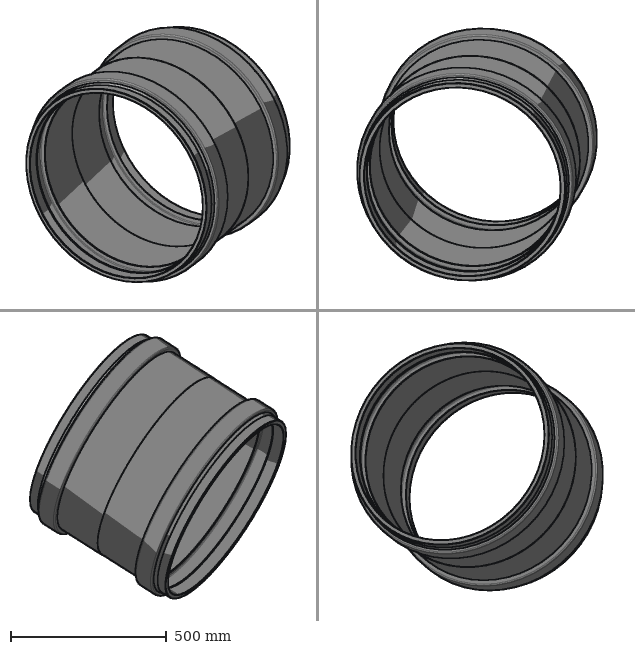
import cadquery as cq

LENGTH = 535.0
HALF = LENGTH / 2
BORE_R = 636.0 / 2
FRONT_R = 670.0 / 2
BACK_R = 672.5 / 2
EDGE_BREAK = 1.5

COLLAR_R = 705 / 2
COLLAR_START = 44.0
COLLAR_END = 109.0
COLLAR_ROUND = 5.0
CONE_START = 32.0
CONE_RISE = 4.0

MOUTH_R = BORE_R + 2.0
LIP_START = 41.0

WALL = FRONT_R - BORE_R
GROOVE_R = COLLAR_R - WALL
GROOVE_START = 43.0
GROOVE_END = 92.0
GROOVE_ROUND = 3.0


def ring(inner_r, outer_r, start, end):
    """Plain ring about the Y axis, lying between two distances from the mouth."""
    return (
        cq.Workplane("XZ", origin=(0, start - HALF, 0))
        .circle(outer_r)
        .circle(inner_r)
        .extrude(start - end)
    )


def turned(profile):
    """Solid of revolution about Y from (radius, distance from the mouth) points."""
    points = [(radius, distance - HALF) for radius, distance in profile]
    return cq.Workplane("XY").polyline(points).close().revolve(360, (0, 0, 0), (0, 1, 0))


def round_outer_edges(body, radius):
    """Round the edges of largest radius on a ring."""
    return body.edges(cq.selectors.RadiusNthSelector(-1)).fillet(radius)


def pipe(outer_r):
    """Solid pipe with a chamfered mouth and a conical flare leading up to the collar."""
    return turned([
        (0, 0),
        (outer_r - EDGE_BREAK, 0),
        (outer_r, EDGE_BREAK),
        (outer_r, CONE_START),
        (outer_r + CONE_RISE, COLLAR_START),
        (outer_r, COLLAR_START),
        (outer_r, HALF),
        (0, HALF),
    ])


def collar():
    """Raised ring with rounded outer edges."""
    return round_outer_edges(ring(BORE_R, COLLAR_R, COLLAR_START, COLLAR_END), COLLAR_ROUND)


def bore():
    """Space inside the socket: mouth, lip and bore, with the groove's inner edge chamfered."""
    return turned([
        (0, 0),
        (MOUTH_R + EDGE_BREAK, 0),
        (MOUTH_R, EDGE_BREAK),
        (MOUTH_R, LIP_START),
        (BORE_R, GROOVE_START),
        (BORE_R, GROOVE_END),
        (BORE_R + EDGE_BREAK, GROOVE_END),
        (BORE_R, GROOVE_END + EDGE_BREAK),
        (BORE_R, HALF),
        (0, HALF),
    ])


def seal_groove():
    """Ring of space for the seal, with a rounded floor."""
    return round_outer_edges(ring(BORE_R - WALL, GROOVE_R, GROOVE_START, GROOVE_END), GROOVE_ROUND)


def socket(outer_r):
    """Socket with its mouth at -Y and its joint face at Y = 0."""
    return pipe(outer_r).union(collar()).cut(bore()).cut(seal_groove())


front_socket = socket(FRONT_R)
back_socket = socket(BACK_R).rotate((0, 0, 0), (0, 0, 1), 180)

result = cq.Compound.makeCompound([front_socket.val(), back_socket.val()])